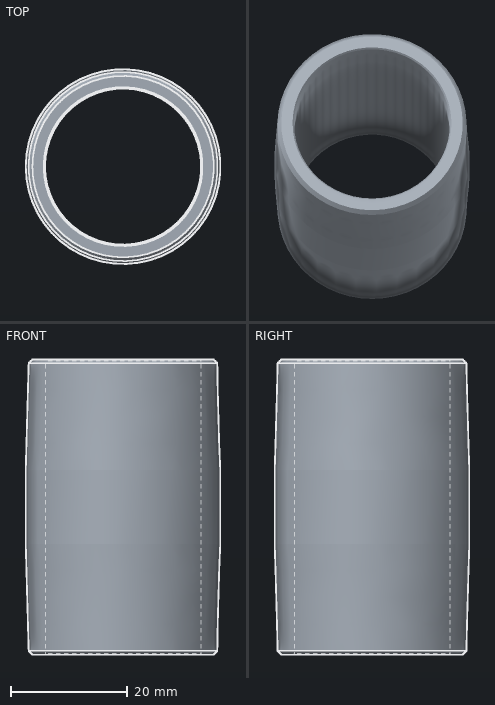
import cadquery as cq

length = 50.8
outer_radius = 16.75
end_radius = 16.25
bore_radius = 13.4

band_length = 12.7

outer_chamfer = 0.65
bore_chamfer = 0.25

half_length = length / 2
half_band = band_length / 2
shoulder_height = half_length - outer_chamfer
rim_outer_radius = end_radius - outer_chamfer
rim_inner_radius = bore_radius + bore_chamfer
bore_edge_height = half_length - bore_chamfer

wall_section = (
    cq.Workplane("XZ")
    .moveTo(-bore_radius, -bore_edge_height)
    .lineTo(-rim_inner_radius, -half_length)
    .lineTo(-rim_outer_radius, -half_length)
    .lineTo(-end_radius, -shoulder_height)
    .lineTo(-outer_radius, -half_band)
    .lineTo(-outer_radius, half_band)
    .lineTo(-end_radius, shoulder_height)
    .lineTo(-rim_outer_radius, half_length)
    .lineTo(-rim_inner_radius, half_length)
    .lineTo(-bore_radius, bore_edge_height)
    .close()
)

result = wall_section.revolve(360, (0, 0, 0), (0, 1, 0))